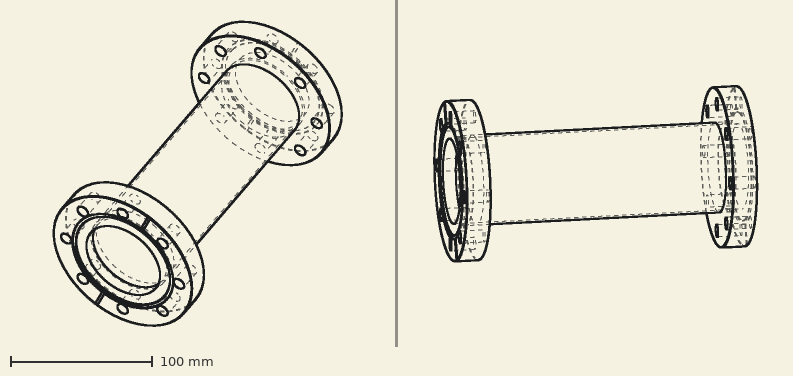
import cadquery as cq

total_length = 209.5

flange_diameter = 113.5
flange_thickness = 17.5
edge_chamfer = 0.5

recess_diameter = 82.5
recess_depth = 1.3
knife_tip_diameter = 77.3
knife_tip_depth = 0.5
inner_face_diameter = 76.7
inner_face_depth = 0.8

tube_diameter = 63.7
bore_diameter = 60.4
socket_face_offset = 10.0

bolt_count = 8
bolt_hole_diameter = 8.5
bolt_circle_diameter = 92.2

groove_width = 2.0
groove_depth = 0.5
groove_angles = (67.5, 247.5)

half_length = total_length / 2
tube_length = total_length - 2 * socket_face_offset


def cylinder(diameter, start, length):
    """Cylinder about the Y axis, from Y = start towards +Y."""
    return cq.Workplane("XZ", origin=(0, start, 0)).circle(diameter / 2).extrude(-length)


def make_blank():
    """Chamfered disc with its outer face at Y = 0."""
    return cylinder(flange_diameter, 0, flange_thickness).faces("<Y or >Y").edges().chamfer(edge_chamfer)


def make_seal_recess():
    """Cut with a knife edge: a sloped outer flank and a short inner flank down to a flat inner face."""
    profile = [
        (0, 0),
        (recess_diameter / 2, 0),
        (recess_diameter / 2, recess_depth),
        (knife_tip_diameter / 2, knife_tip_depth),
        (inner_face_diameter / 2, inner_face_depth),
        (0, inner_face_depth),
    ]
    return cq.Workplane("XY").polyline(profile).close().revolve(360, (0, 0, 0), (0, 1, 0))


def make_bolt_holes():
    """Through holes evenly spaced on the bolt circle."""
    return (
        cq.Workplane("XZ")
        .polarArray(bolt_circle_diameter / 2, 0, 360, bolt_count)
        .circle(bolt_hole_diameter / 2)
        .extrude(-flange_thickness)
    )


def make_leak_groove(angle):
    """Radial groove in the outer face, from the seal recess to the rim."""
    inner_radius = recess_diameter / 2 - groove_width
    groove_length = flange_diameter / 2 - inner_radius + groove_width
    return (
        cq.Workplane("XY")
        .box(groove_length, groove_depth, groove_width, centered=(False, False, True))
        .translate((inner_radius, 0, 0))
        .rotate((0, 0, 0), (0, 1, 0), -angle)
    )


def make_flange():
    """Flange at the -Y end, with a socket for the tube in its inner face."""
    flange = make_blank()
    flange = flange.cut(make_seal_recess())
    flange = flange.cut(cylinder(bore_diameter, 0, flange_thickness))
    flange = flange.cut(cylinder(tube_diameter, socket_face_offset, flange_thickness - socket_face_offset))
    flange = flange.cut(make_bolt_holes())
    for angle in groove_angles:
        flange = flange.cut(make_leak_groove(angle))
    return flange.translate((0, -half_length, 0))


def make_tube():
    """Plain tube whose ends sit in the flange sockets."""
    outside = cylinder(tube_diameter, -tube_length / 2, tube_length)
    return outside.cut(cylinder(bore_diameter, -tube_length / 2, tube_length))


near_flange = make_flange()
flanges = [near_flange, near_flange.mirror("XZ")]
tube = make_tube()

result = cq.Compound.makeCompound([tube.val(), *[flange.val() for flange in flanges]])